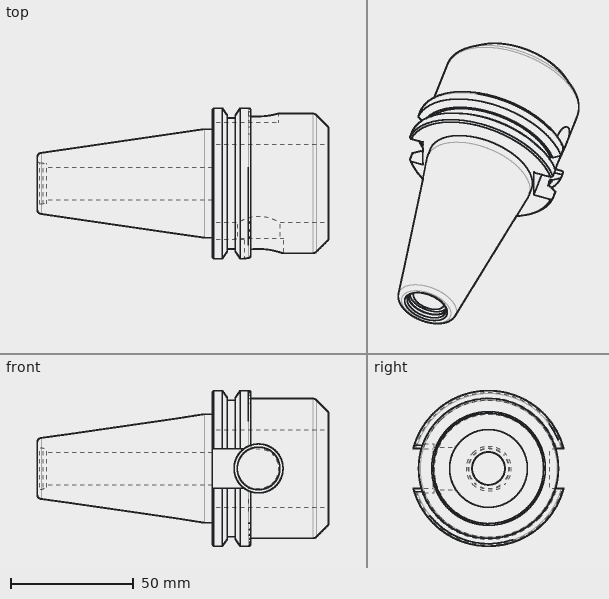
import cadquery as cq
import math

total_length = 119.0
flange_start = 71.4
flange_end = 87.3

gauge_radius = 44.4 / 2
taper_end = 68.1
taper_ratio = 7 / 24
shank_tip_radius = gauge_radius - taper_end * taper_ratio / 2
tip_fillet = 1.9

flange_radius = 63.6 / 2
flange_front_chamfer = 0.7
flange_rear_round = 1.1
groove_left = 75.6
groove_floor_left = 77.6
groove_floor_right = 80.8
groove_right = 82.9
groove_lip_radius = 28.9
groove_floor_radius = 28.0

body_radius = 57.1 / 2
nose_chamfer = 5.7
nose_edge_round = 0.4
nose_shoulder_round = 2.1

through_diameter = 13.3
socket_diameter = 16.3
socket_depth = 3.8
pilot_diameter = 16.8
pilot_depth = 2.4
mouth_diameter = 18.3
tool_bore_diameter = 31.8
tool_bore_start = 71.4

slot_width = 16.2
front_slot_floor = 22.7
back_slot_floor = 24.9
screw_x = 90.4
screw_spot_diameter = 20.0
screw_hole_diameter = 17.4
screw_spot_floor = 22.4


def turned_body():
    """Revolve the outer outline about the X axis."""
    shoulder_tangent = nose_shoulder_round * math.tan(math.radians(45 / 2))
    shoulder_x = total_length - nose_chamfer
    shoulder_step = shoulder_tangent * math.sin(math.radians(45))
    arc_center = (shoulder_x - shoulder_tangent, body_radius - nose_shoulder_round)
    arc_middle = (
        arc_center[0] + nose_shoulder_round * math.sin(math.radians(45 / 2)),
        arc_center[1] + nose_shoulder_round * math.cos(math.radians(45 / 2)),
    )
    nose_radius = body_radius - nose_chamfer

    outline = (
        cq.Workplane("XY")
        .lineTo(0, shank_tip_radius)
        .lineTo(taper_end, gauge_radius)
        .lineTo(flange_start, gauge_radius)
        .lineTo(flange_start, flange_radius - flange_front_chamfer)
        .lineTo(flange_start + flange_front_chamfer, flange_radius)
        .lineTo(groove_left, flange_radius)
        .lineTo(groove_floor_left, groove_lip_radius)
        .lineTo(groove_floor_left, groove_floor_radius)
        .lineTo(groove_floor_right, groove_floor_radius)
        .lineTo(groove_floor_right, groove_lip_radius)
        .lineTo(groove_right, flange_radius)
        .lineTo(flange_end - flange_rear_round, flange_radius)
        .radiusArc((flange_end, flange_radius - flange_rear_round), flange_rear_round)
        .lineTo(flange_end, body_radius)
        .lineTo(shoulder_x - shoulder_tangent, body_radius)
        .threePointArc(arc_middle, (shoulder_x + shoulder_step, body_radius - shoulder_step))
        .lineTo(total_length - nose_edge_round, nose_radius + nose_edge_round)
        .lineTo(total_length, nose_radius - nose_edge_round)
        .lineTo(total_length, 0)
        .close()
    )
    body = outline.revolve(360, (0, 0, 0), (1, 0, 0))
    return body.faces("<X").edges().fillet(tip_fillet)


def axial_holes():
    """Stepped hole from the shank tip, through hole and tool bore."""
    mouth_chamfer = (mouth_diameter - pilot_diameter) / 2
    outline = (
        cq.Workplane("XY")
        .lineTo(0, mouth_diameter / 2)
        .lineTo(mouth_chamfer, pilot_diameter / 2)
        .lineTo(pilot_depth, pilot_diameter / 2)
        .lineTo(pilot_depth, socket_diameter / 2)
        .lineTo(socket_depth, socket_diameter / 2)
        .lineTo(socket_depth, through_diameter / 2)
        .lineTo(tool_bore_start, through_diameter / 2)
        .lineTo(tool_bore_start, tool_bore_diameter / 2)
        .lineTo(total_length, tool_bore_diameter / 2)
        .lineTo(total_length, 0)
        .close()
    )
    return outline.revolve(360, (0, 0, 0), (1, 0, 0))


def radial_cylinder(diameter, floor, side):
    """Cylinder along Y from the floor outwards; side is -1 for -Y, +1 for +Y."""
    return (
        cq.Workplane("XZ", origin=(screw_x, side * floor, 0))
        .circle(diameter / 2)
        .extrude(-side * (flange_radius - floor))
    )


def drive_slot(floor, side):
    """Flat-floored slot across the flange, ending at the screw axis."""
    depth = flange_radius - floor
    length = screw_x - flange_start
    slot = cq.Workplane("XY").box(length, depth, slot_width, centered=(False, True, True))
    return slot.translate((flange_start, side * (floor + depth / 2), 0))


result = (
    turned_body()
    .cut(axial_holes())
    .cut(drive_slot(front_slot_floor, -1))
    .cut(drive_slot(back_slot_floor, 1))
    .cut(radial_cylinder(screw_spot_diameter, screw_spot_floor, -1))
    .cut(radial_cylinder(slot_width, back_slot_floor, 1))
    .cut(radial_cylinder(screw_hole_diameter, 0, -1))
)